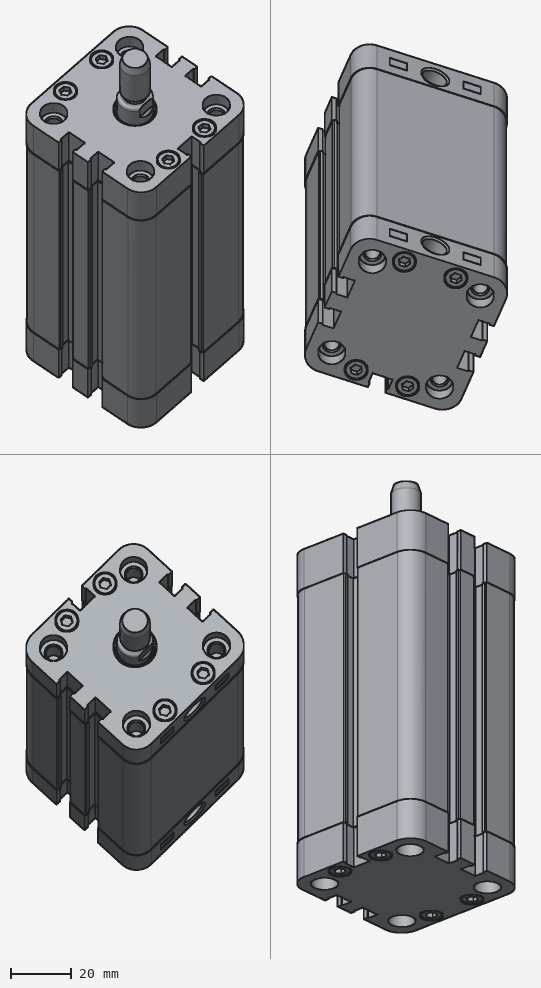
import cadquery as cq
import math

total_height = 146.0
housing_height = 120.0
cap_height = 14.5
barrel_height = housing_height - 2 * cap_height

cap_side = 54.8
barrel_side = 54.3
corner_start = 20.6

slot_offset = 6.4
slot_lip_inner = 25.7
cap_slot_opening = 6.1
cap_slot_width = 7.0
cap_slot_floor = 21.8
barrel_slot_opening = 5.3
barrel_lip_chamfer = 0.5
barrel_slot_width = 6.7
barrel_slot_floor = 22.2

mount_offset = 19.0
mount_counterbore_diameter = 9.0
mount_counterbore_depth = 5.0
mount_countersink_diameter = 6.0
mount_hole_diameter = 5.0

screw_x = 22.5
screw_y = 9.0
screw_recess_diameter = 7.7
screw_head_diameter = 7.5
screw_head_chamfer = 0.3
screw_recess_depth = 0.7
screw_head_drop = 0.1
screw_socket_flats = 3.5
screw_socket_depth = 2.2

port_diameter = 8.6
port_chamfer_diameter = 10.0
port_from_end = 8.0
port_core_diameter = 40.0

label_offset = 13.0
label_width = 6.1
label_height = 4.4
label_depth = 0.1
label_from_end = 7.3

rod_diameter = 12.0
rod_shoulder_z = 127.3
rod_shoulder_fillet = 1.3
rod_flats = 10.0
rod_flat_bottom_z = 123.0
neck_diameter = 7.9
thread_diameter = 10.0
neck_top_z = 129.2
thread_bottom_z = 129.8
tip_diameter = 8.3
tip_chamfer_bottom_z = 143.2
seal_recess_diameter = 13.7
seal_recess_mouth_diameter = 14.5
seal_recess_mouth_depth = 0.1
seal_recess_depth = 0.7
rod_gap_diameter = 12.5
rod_gap_depth = 1.5


def rounded_block(side, height):
    """Square block on the XY plane with rounded vertical edges."""
    corner_radius = side / 2 - corner_start
    return cq.Workplane("XY").rect(side, side).extrude(height).edges("|Z").fillet(corner_radius)


def slot_cutter(opening, width, floor, height):
    """One T-slot on the +Y side, open outwards."""
    beyond_side = cap_side
    half_opening = opening / 2
    half_width = width / 2
    return (
        cq.Workplane("XY")
        .moveTo(-half_width, floor)
        .lineTo(half_width, floor)
        .lineTo(half_width, slot_lip_inner)
        .lineTo(half_opening, slot_lip_inner)
        .lineTo(half_opening, beyond_side)
        .lineTo(-half_opening, beyond_side)
        .lineTo(-half_opening, slot_lip_inner)
        .lineTo(-half_width, slot_lip_inner)
        .close()
        .extrude(height)
    )


def cut_at_slots(block, cutter):
    """Cut with a +Y side cutter at two slots on each of the -Y and +Y sides and one on +X."""
    for x in (-slot_offset, slot_offset):
        upper_cutter = cutter.translate((x, 0, 0))
        block = block.cut(upper_cutter).cut(upper_cutter.mirror("XZ"))
    return block.cut(cutter.rotate((0, 0, 0), (0, 0, 1), -90))


def cut_mounting_holes(cap):
    """Corner holes through the cap, each with a counterbore and a countersink at its floor."""
    counterbore_radius = mount_counterbore_diameter / 2
    countersink_radius = mount_countersink_diameter / 2
    hole_radius = mount_hole_diameter / 2
    counterbore_floor = cap_height - mount_counterbore_depth
    countersink_bottom = counterbore_floor - (countersink_radius - hole_radius)
    hole = (
        cq.Workplane("XZ")
        .lineTo(hole_radius, 0)
        .lineTo(hole_radius, countersink_bottom)
        .lineTo(countersink_radius, counterbore_floor)
        .lineTo(counterbore_radius, counterbore_floor)
        .lineTo(counterbore_radius, cap_height)
        .lineTo(0, cap_height)
        .close()
        .revolve(360, (0, 0, 0), (0, 1, 0))
    )
    for x in (-mount_offset, mount_offset):
        for y in (-mount_offset, mount_offset):
            cap = cap.cut(hole.translate((x, y, 0)))
    return cap


def cut_screws(cap):
    """Recess around each chamfered screw head, which lies below the face and has a hex socket."""
    socket_corner_diameter = screw_socket_flats / math.cos(math.pi / 6)
    head_height = screw_recess_depth - screw_head_drop
    recess_floor = cq.Workplane("XY").workplane(offset=cap_height - screw_recess_depth)
    socket_floor = cq.Workplane("XY").workplane(offset=cap_height - screw_socket_depth)
    recess = recess_floor.circle(screw_recess_diameter / 2).extrude(screw_recess_depth)
    head = recess_floor.circle(screw_head_diameter / 2).extrude(head_height)
    head = head.faces(">Z").chamfer(screw_head_chamfer)
    socket = (
        socket_floor.polygon(6, socket_corner_diameter)
        .extrude(screw_socket_depth)
        .rotate((0, 0, 0), (0, 0, 1), 90)
    )
    cutter = recess.cut(head).union(socket)
    for x in (-screw_x, screw_x):
        for y in (-screw_y, screw_y):
            cap = cap.cut(cutter.translate((x, y, 0)))
    return cap


def cut_port(cap):
    """Chamfered port on the -X side that ends on the core cylinder."""
    port_radius = port_diameter / 2
    chamfer_radius = port_chamfer_diameter / 2
    chamfer = chamfer_radius - port_radius
    port = (
        cq.Workplane("XY")
        .lineTo(chamfer_radius, 0)
        .lineTo(port_radius, chamfer)
        .lineTo(port_radius, cap_side / 2)
        .lineTo(0, cap_side / 2)
        .close()
        .revolve(360, (0, 0, 0), (0, 1, 0))
        .rotate((0, 0, 0), (0, 0, 1), -90)
        .translate((-cap_side / 2, 0, cap_height - port_from_end))
    )
    core = cq.Workplane("XY").circle(port_core_diameter / 2).extrude(cap_height)
    return cap.cut(port.cut(core))


def cut_label_pockets(cap):
    """Shallow rectangular pockets on both sides of the port."""
    pocket = cq.Workplane("XY").box(2 * label_depth, label_width, label_height)
    for y in (-label_offset, label_offset):
        cap = cap.cut(pocket.translate((-cap_side / 2, y, cap_height - label_from_end)))
    return cap


def make_cap():
    """End cap with its outer face up and its inner face on the XY plane."""
    cap = rounded_block(cap_side, cap_height)
    slot = slot_cutter(cap_slot_opening, cap_slot_width, cap_slot_floor, cap_height)
    cap = cut_at_slots(cap, slot)
    cap = cut_mounting_holes(cap)
    cap = cut_screws(cap)
    cap = cut_port(cap)
    return cut_label_pockets(cap)


def cut_rod_bore(cap):
    """Bore that guides the rod, widening in two steps to a shallow conical mouth at the outer face."""
    rod_radius = rod_diameter / 2
    gap_radius = rod_gap_diameter / 2
    recess_radius = seal_recess_diameter / 2
    mouth_radius = seal_recess_mouth_diameter / 2
    gap_floor = cap_height - rod_gap_depth
    recess_floor = cap_height - seal_recess_depth
    mouth_bottom = cap_height - seal_recess_mouth_depth
    bore = (
        cq.Workplane("XZ")
        .lineTo(rod_radius, 0)
        .lineTo(rod_radius, gap_floor)
        .lineTo(gap_radius, gap_floor)
        .lineTo(gap_radius, recess_floor)
        .lineTo(recess_radius, recess_floor)
        .lineTo(recess_radius, mouth_bottom)
        .lineTo(mouth_radius, cap_height)
        .lineTo(0, cap_height)
        .close()
        .revolve(360, (0, 0, 0), (0, 1, 0))
    )
    return cap.cut(bore)


def lip_chamfer_cutter():
    """Wedge that chamfers both outer edges of one barrel slot on the +Y side."""
    half_opening = barrel_slot_opening / 2
    half_mouth = half_opening + barrel_lip_chamfer
    barrel_face = barrel_side / 2
    return (
        cq.Workplane("XY")
        .moveTo(-half_mouth, barrel_face)
        .lineTo(-half_opening, barrel_face - barrel_lip_chamfer)
        .lineTo(half_opening, barrel_face - barrel_lip_chamfer)
        .lineTo(half_mouth, barrel_face)
        .close()
        .extrude(barrel_height)
    )


def make_barrel():
    """Slotted profile between the two caps."""
    barrel = rounded_block(barrel_side, barrel_height)
    slot = slot_cutter(barrel_slot_opening, barrel_slot_width, barrel_slot_floor, barrel_height)
    barrel = cut_at_slots(barrel, slot)
    barrel = cut_at_slots(barrel, lip_chamfer_cutter())
    return barrel.translate((0, 0, cap_height))


def make_rod():
    """Turned rod with a threaded end, standing on the barrel, with two wrench flats."""
    rod_radius = rod_diameter / 2
    neck_radius = neck_diameter / 2
    thread_radius = thread_diameter / 2
    fillet_center_radius = rod_radius - rod_shoulder_fillet
    fillet_center_z = rod_shoulder_z - rod_shoulder_fillet
    fillet_middle = rod_shoulder_fillet * math.sqrt(0.5)
    rod = (
        cq.Workplane("XZ")
        .moveTo(0, housing_height - cap_height)
        .lineTo(rod_radius, housing_height - cap_height)
        .lineTo(rod_radius, fillet_center_z)
        .threePointArc(
            (fillet_center_radius + fillet_middle, fillet_center_z + fillet_middle),
            (fillet_center_radius, rod_shoulder_z),
        )
        .lineTo(neck_radius, rod_shoulder_z)
        .lineTo(neck_radius, neck_top_z)
        .lineTo(thread_radius, thread_bottom_z)
        .lineTo(thread_radius, tip_chamfer_bottom_z)
        .lineTo(tip_diameter / 2, total_height)
        .lineTo(0, total_height)
        .close()
        .revolve(360, (0, 0, 0), (0, 1, 0))
    )
    flat_distance = rod_flats / 2
    runout = rod_radius - flat_distance
    flat_cutter = (
        cq.Workplane("XZ")
        .moveTo(flat_distance, rod_shoulder_z)
        .lineTo(flat_distance, rod_flat_bottom_z)
        .lineTo(rod_radius, rod_flat_bottom_z - runout)
        .lineTo(rod_radius, rod_shoulder_z)
        .close()
        .extrude(rod_radius, both=True)
    )
    return rod.cut(flat_cutter).cut(flat_cutter.mirror("YZ"))


top_cap = cut_rod_bore(make_cap()).translate((0, 0, housing_height - cap_height))
bottom_cap = make_cap().mirror("XY").translate((0, 0, cap_height))
barrel = make_barrel()
rod = make_rod()

result = cq.Compound.makeCompound([top_cap.val(), bottom_cap.val(), barrel.val(), rod.val()])